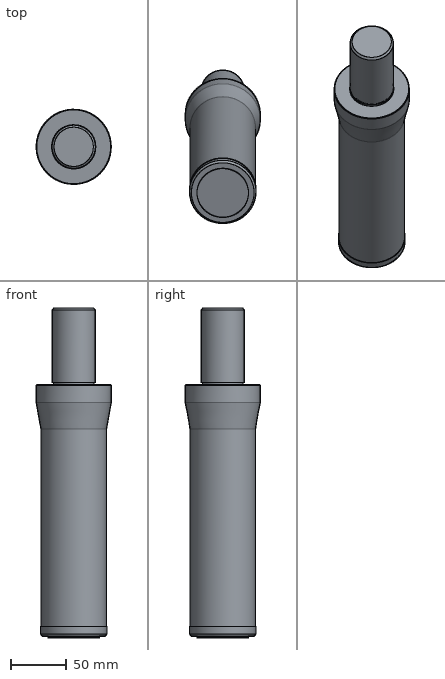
import cadquery as cq

TOTAL_HEIGHT = 298.0
COLLAR_TOP = 228.5
COLLAR_BOTTOM = 212.5
TAPER_BOTTOM = 188.3
FOOT_TOP = 10.0
FOOT_CHAMFER_TOP = 3.3
BASE_STEP_HEIGHT = 1.2

COLLAR_RADIUS = 34.0
TUBE_RADIUS = 59.3 / 2
FOOT_RADIUS = 30.0
FOOT_EDGE_RADIUS = 28.3
BASE_RADIUS = 23.2
COLLAR_CHAMFER = 0.5

PIN_RADIUS = 39.0 / 2
PIN_CHAMFER = 1.8
NECK_RADIUS = 18.5
NECK_EXPOSED_HEIGHT = 1.8
SEAT_RADIUS = 20.0
SEAT_DEPTH = 1.8

SEAT_FLOOR = COLLAR_TOP - SEAT_DEPTH
NECK_TOP = COLLAR_TOP + NECK_EXPOSED_HEIGHT


def revolve_profile(points):
    """Revolve a closed outline of (radius, height) points about the Z axis."""
    return cq.Workplane("XZ").polyline(points).close().revolve(360, (0, 0), (0, 1))


def make_housing():
    """Round tube with a stepped foot, a flared collar and a shallow seat on top."""
    return revolve_profile(
        [
            (0, 0),
            (BASE_RADIUS, 0),
            (BASE_RADIUS, BASE_STEP_HEIGHT),
            (FOOT_EDGE_RADIUS, BASE_STEP_HEIGHT),
            (FOOT_RADIUS, FOOT_CHAMFER_TOP),
            (FOOT_RADIUS, FOOT_TOP),
            (TUBE_RADIUS, FOOT_TOP),
            (TUBE_RADIUS, TAPER_BOTTOM),
            (COLLAR_RADIUS, COLLAR_BOTTOM),
            (COLLAR_RADIUS, COLLAR_TOP - COLLAR_CHAMFER),
            (COLLAR_RADIUS - COLLAR_CHAMFER, COLLAR_TOP),
            (SEAT_RADIUS, COLLAR_TOP),
            (NECK_RADIUS, SEAT_FLOOR),
            (0, SEAT_FLOOR),
        ]
    )


def make_pin():
    """Round pin with a chamfered tip and a narrower neck standing on the seat floor."""
    return revolve_profile(
        [
            (0, SEAT_FLOOR),
            (NECK_RADIUS, SEAT_FLOOR),
            (NECK_RADIUS, NECK_TOP),
            (PIN_RADIUS, NECK_TOP),
            (PIN_RADIUS, TOTAL_HEIGHT - PIN_CHAMFER),
            (PIN_RADIUS - PIN_CHAMFER, TOTAL_HEIGHT),
            (0, TOTAL_HEIGHT),
        ]
    )


housing = make_housing()
pin = make_pin()

result = cq.Compound.makeCompound([housing.val(), pin.val()])